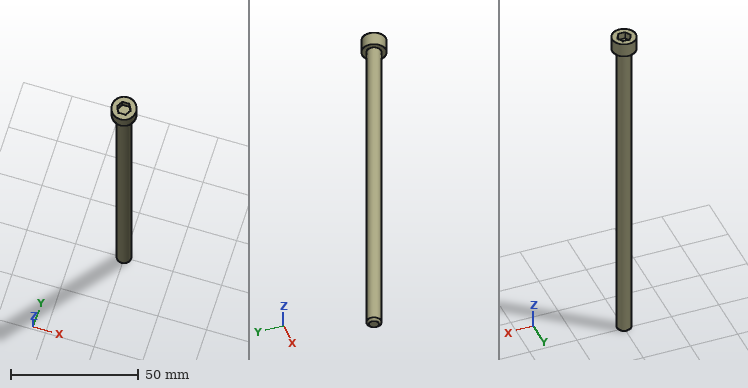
import cadquery as cq
import math

total_length = 146.0
head_diameter = 10.0
head_height = 6.0
shank_diameter = 6.0
tip_diameter = 4.0
tip_length = 1.0
socket_across_flats = 5.0
socket_depth = 3.0

z_top = total_length / 2
z_tip = -z_top
z_head_base = z_top - head_height


def make_body():
    """Head, shank and conical tip turned from one half profile."""
    head_radius = head_diameter / 2
    shank_radius = shank_diameter / 2
    return (
        cq.Workplane("XZ")
        .moveTo(0, z_tip)
        .lineTo(tip_diameter / 2, z_tip)
        .lineTo(shank_radius, z_tip + tip_length)
        .lineTo(shank_radius, z_head_base)
        .lineTo(head_radius, z_head_base)
        .lineTo(head_radius, z_top)
        .lineTo(0, z_top)
        .close()
        .revolve(360, (0, 0, 0), (0, 1, 0))
    )


def make_socket():
    """Hexagonal key socket sunk into the top of the head."""
    across_corners = socket_across_flats / math.cos(math.pi / 6)
    return (
        cq.Workplane("XY")
        .workplane(offset=z_top - socket_depth)
        .polygon(6, across_corners)
        .extrude(socket_depth)
    )


result = make_body().cut(make_socket())